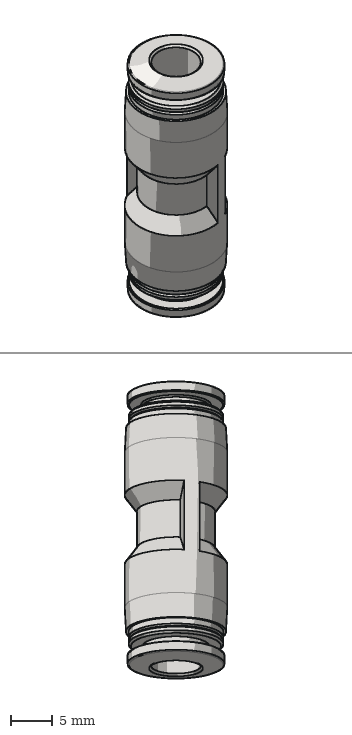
import cadquery as cq

length = 35.2
body_diameter = 12.5
half_length = length / 2
body_radius = body_diameter / 2

flange_radius = 11.8 / 2
flange_edge_drop = 0.55
flange_bottom_drop = 1.72
flange_face_radius = 5.7
rim_chamfer_height = 0.1
dome_drop = flange_edge_drop - rim_chamfer_height
neck_radius = 8.1 / 2
neck_flare = 0.2

ring_radius = 11.5 / 2
ring_top_drop = 2.8
ring_chamfer = 0.28
groove_depth = 0.2
groove_top_drop = 3.52
body_end_drop = 4.68

body_end_radius = 12.18 / 2
taper_end_drop = 7.75
waist_radius = 4.75
waist_half_height = 2.35
waist_outer_half_height = 4.4

web_thickness = 2.0

bore_radius = 4.3 / 2
socket_radius = 6.0 / 2
socket_chamfer = 0.28
socket_floor = waist_half_height


def upper_outline():
    """Radius and height of the outer corners, from the upper end face down to the taper."""
    corners = [
        (socket_radius + socket_chamfer, 0),
        (flange_face_radius, dome_drop),
        (flange_radius, flange_edge_drop),
        (flange_radius, flange_bottom_drop - rim_chamfer_height),
        (flange_face_radius, flange_bottom_drop),
        (neck_radius + neck_flare, flange_bottom_drop),
        (neck_radius, flange_bottom_drop + neck_flare),
        (neck_radius, ring_top_drop),
        (ring_radius - ring_chamfer, ring_top_drop),
        (ring_radius, ring_top_drop + ring_chamfer),
        (ring_radius, groove_top_drop),
        (ring_radius - groove_depth, groove_top_drop + groove_depth),
        (ring_radius, groove_top_drop + 2 * groove_depth),
        (ring_radius, body_end_drop),
        (body_end_radius, body_end_drop),
        (body_radius, taper_end_drop),
    ]
    return [(radius, half_length - drop) for radius, drop in corners]


def upper_bore():
    """Radius and height of the bore corners, from the socket floor up to the end face."""
    return [
        (bore_radius, socket_floor),
        (socket_radius, socket_floor),
        (socket_radius, half_length - socket_chamfer),
    ]


def mirrored(points):
    """The same corners reflected to the lower half, in reverse order."""
    return [(radius, -height) for radius, height in reversed(points)]


def revolve_profile(points):
    """Solid of revolution about Z from radius and height points."""
    return cq.Workplane("XZ").polyline(points).close().revolve(360, (0, 0), (0, 1))


def make_body():
    """Turned body with its stepped bore, before the waist is cut."""
    outer = upper_outline()
    bore = upper_bore()
    return revolve_profile(outer + mirrored(outer) + mirrored(bore) + bore)


def make_waist_cutter():
    """Ring to remove at the waist, split by the two webs on +X and -X."""
    overshoot = 0.35
    flank_slope = (waist_outer_half_height - waist_half_height) / (body_radius - waist_radius)
    cutter_radius = body_radius + overshoot
    cutter_half_height = waist_outer_half_height + overshoot * flank_slope
    upper = [
        (cutter_radius, cutter_half_height),
        (waist_radius, waist_half_height),
    ]
    ring = revolve_profile(upper + mirrored(upper))
    webs = cq.Workplane("XY").box(2 * cutter_radius, web_thickness, 2 * cutter_half_height)
    return ring.cut(webs)


result = make_body().cut(make_waist_cutter())